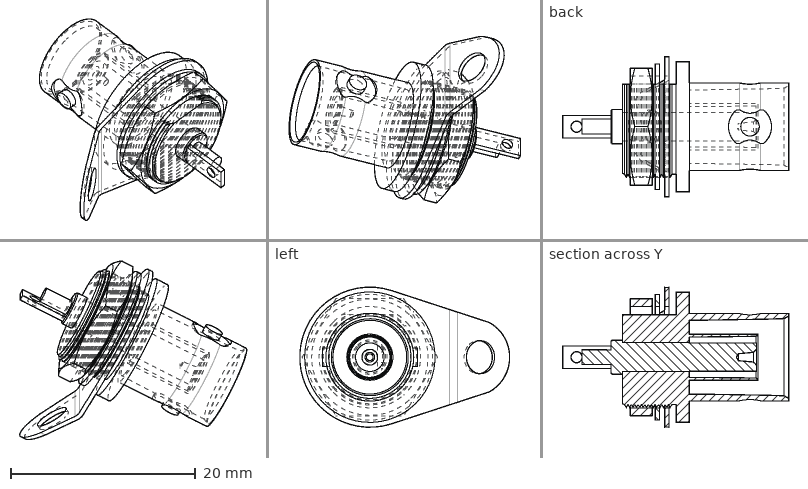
import math

import cadquery as cq

LENGTH = 24.5

BARREL_R = 4.75
FLANGE_R = 7.05
FLANGE_FRONT = 10.78
FLANGE_BACK = 12.2
HOUSING_BACK = 18.02

MOUTH_R = 4.45
BORE_R = 4.16
BORE_CHAMFER_DEPTH = 0.55
BORE_FLOOR_R = 4.0

BAYONET_X = 4.21
GROOVE_HALF_WIDTH = 1.13
GROOVE_DEPTH = 0.135
SPOTFACE_R = 2.33
SPOTFACE_Y = 4.38
BAYONET_PIN_R = 1.0
BAYONET_PIN_TIP_Y = 5.15

TUBE_FRONT = 3.35
TUBE_R = 2.5
TUBE_MOUTH_R = 2.38
TUBE_BORE_R = 2.25
TUBE_CHAMFER_DEPTH = 0.2
TUBE_FLOOR_R = 2.18

THREAD_CREST_R = 5.49
THREAD_ROOT_R = 5.17
THREAD_START = 12.65
THREAD_END = 17.78
THREAD_COUNT = 14
SHANK_END_R = 5.05
SHANK_FLAT_Z = 4.6

CONTACT_R = 1.55
CONTACT_FRONT = 3.5
SOCKET_MOUTH_R = 0.85
SOCKET_R = 0.51
SOCKET_END_R = 0.37
SOCKET_DEPTH = 1.95
DRILL_POINT_ANGLE = 118.0
COLLAR_R = 1.85
COLLAR_BACK = 19.27
COLLAR_CHAMFER = 0.15
POST_R = 0.8
POST_BACK = 22.4
TAB_THICKNESS = 0.56
TAB_WIDTH = 2.45
TAB_HOLE_R = 0.6
TAB_HOLE_X = 22.97

SHEET_THICKNESS = 0.5
LUG_FRONT = 12.95
LUG_R = 7.6
LUG_BEND_Y = 9.09
LUG_BEND_ANGLE = 32.0
LUG_BEND_R = 1.71
LUG_TAPER_ANGLE = 18.1
LUG_CORNER_Y = 12.9
LUG_TIP_Y = 15.13
LUG_HOLE_Y = 11.98
LUG_HOLE_R = 1.8
WASHER_FRONT = 13.98
WASHER_R = 6.8
NUT_FRONT = 14.77
NUT_BACK = 17.17
NUT_FLATS = 12.69
NUT_FACE_R = 6.3
NUT_CHAMFER_DEPTH = 0.5


def cylinder(radius, start, end):
    """A cylinder on the X axis."""
    return cq.Workplane("YZ", origin=(start, 0, 0)).circle(radius).extrude(end - start)


def revolve_about_x(profile):
    """Close a half profile drawn in the XY plane and revolve it about the X axis."""
    return profile.close().revolve(360, (0, 0, 0), (1, 0, 0))


def make_housing():
    groove_start = BAYONET_X - GROOVE_HALF_WIDTH
    groove_end = BAYONET_X + GROOVE_HALF_WIDTH
    groove_radius = (GROOVE_HALF_WIDTH**2 + GROOVE_DEPTH**2) / (2 * GROOVE_DEPTH)
    outline = (
        cq.Workplane("XY")
        .moveTo(0, MOUTH_R)
        .lineTo(0, BARREL_R)
        .lineTo(groove_start, BARREL_R)
        .radiusArc((BAYONET_X, BARREL_R - GROOVE_DEPTH), -groove_radius)
        .radiusArc((groove_end, BARREL_R), -groove_radius)
        .lineTo(FLANGE_FRONT, BARREL_R)
        .lineTo(FLANGE_FRONT, FLANGE_R)
        .lineTo(FLANGE_BACK, FLANGE_R)
        .lineTo(FLANGE_BACK, THREAD_ROOT_R)
        .lineTo(THREAD_START, THREAD_ROOT_R)
    )
    pitch = (THREAD_END - THREAD_START) / THREAD_COUNT
    for i in range(THREAD_COUNT):
        root_x = THREAD_START + i * pitch
        outline = outline.lineTo(root_x + pitch / 2, THREAD_CREST_R).lineTo(root_x + pitch, THREAD_ROOT_R)
    outline = (
        outline.lineTo(HOUSING_BACK, SHANK_END_R)
        .lineTo(HOUSING_BACK, CONTACT_R)
        .lineTo(FLANGE_FRONT, CONTACT_R)
        .lineTo(FLANGE_FRONT, TUBE_FLOOR_R)
        .lineTo(TUBE_FRONT + TUBE_CHAMFER_DEPTH, TUBE_BORE_R)
        .lineTo(TUBE_FRONT, TUBE_MOUTH_R)
        .lineTo(TUBE_FRONT, TUBE_R)
        .lineTo(FLANGE_FRONT, TUBE_R)
        .lineTo(FLANGE_FRONT, BORE_FLOOR_R)
        .lineTo(BORE_CHAMFER_DEPTH, BORE_R)
    )
    housing = revolve_about_x(outline)

    shank_length = HOUSING_BACK - FLANGE_BACK
    shank_middle = (FLANGE_BACK + HOUSING_BACK) / 2
    flat_cut = (
        cq.Workplane("XY", origin=(shank_middle, 0, SHANK_FLAT_Z))
        .rect(shank_length, 2 * THREAD_CREST_R)
        .extrude(THREAD_CREST_R - SHANK_FLAT_Z)
    )
    housing = housing.cut(flat_cut)

    for side in (1, -1):
        base = cq.Workplane("XZ", origin=(BAYONET_X, side * SPOTFACE_Y, 0))
        housing = housing.cut(base.circle(SPOTFACE_R).extrude(-side * (BARREL_R - SPOTFACE_Y)))
        root = cq.Workplane("XZ", origin=(BAYONET_X, side * BORE_R, 0))
        housing = housing.union(root.circle(BAYONET_PIN_R).extrude(-side * (BAYONET_PIN_TIP_Y - BORE_R)))
    return housing


def make_contact():
    socket_shoulder = CONTACT_FRONT + SOCKET_MOUTH_R - SOCKET_R
    socket_end = CONTACT_FRONT + SOCKET_DEPTH
    socket_tip = socket_end + SOCKET_END_R / math.tan(math.radians(DRILL_POINT_ANGLE / 2))
    contact = revolve_about_x(
        cq.Workplane("XY")
        .moveTo(CONTACT_FRONT, SOCKET_MOUTH_R)
        .lineTo(CONTACT_FRONT, CONTACT_R)
        .lineTo(HOUSING_BACK, CONTACT_R)
        .lineTo(HOUSING_BACK, COLLAR_R)
        .lineTo(COLLAR_BACK - COLLAR_CHAMFER, COLLAR_R)
        .lineTo(COLLAR_BACK, COLLAR_R - COLLAR_CHAMFER)
        .lineTo(COLLAR_BACK, POST_R)
        .lineTo(POST_BACK, POST_R)
        .lineTo(POST_BACK, 0)
        .lineTo(socket_tip, 0)
        .lineTo(socket_end, SOCKET_END_R)
        .lineTo(socket_shoulder, SOCKET_R)
    )
    tab = (
        cq.Workplane("XZ", origin=(0, -POST_R, 0))
        .moveTo(COLLAR_BACK, -TAB_WIDTH / 2)
        .lineTo(LENGTH, -TAB_WIDTH / 2)
        .lineTo(LENGTH, TAB_WIDTH / 2)
        .lineTo(COLLAR_BACK, TAB_WIDTH / 2)
        .close()
        .moveTo(TAB_HOLE_X, 0)
        .circle(TAB_HOLE_R)
        .extrude(TAB_THICKNESS)
    )
    return contact.union(tab)


def make_lug():
    bend = math.radians(LUG_BEND_ANGLE)
    lug_back = LUG_FRONT + SHEET_THICKNESS
    bend_back_y = -LUG_BEND_Y + SHEET_THICKNESS * math.tan(bend / 2)
    stock_y = -(LUG_TIP_Y + SHEET_THICKNESS)
    stock_front_x = LUG_FRONT + (-LUG_BEND_Y - stock_y) * math.tan(bend)
    stock_back_x = stock_front_x + SHEET_THICKNESS / math.cos(bend)
    sheet = (
        cq.Workplane("XY")
        .moveTo(LUG_FRONT, LUG_R)
        .lineTo(LUG_FRONT, -LUG_BEND_Y)
        .lineTo(stock_front_x, stock_y)
        .lineTo(stock_back_x, stock_y)
        .lineTo(lug_back, bend_back_y)
        .lineTo(lug_back, LUG_R)
        .close()
        .extrude(LUG_R, both=True)
    )
    front_bend_edge = cq.selectors.NearestToPointSelector((LUG_FRONT, -LUG_BEND_Y, 0))
    back_bend_edge = cq.selectors.NearestToPointSelector((lug_back, bend_back_y, 0))
    sheet = sheet.edges(front_bend_edge).fillet(LUG_BEND_R)
    sheet = sheet.edges(back_bend_edge).fillet(LUG_BEND_R - SHEET_THICKNESS)

    taper = math.radians(LUG_TAPER_ANGLE)
    tangent_y = -LUG_R * math.sin(taper)
    tangent_z = LUG_R * math.cos(taper)
    corner_z = tangent_z - (LUG_CORNER_Y + tangent_y) * math.tan(taper)
    teardrop = (
        cq.Workplane("YZ", origin=(LUG_FRONT, 0, 0))
        .moveTo(-LUG_CORNER_Y, corner_z)
        .lineTo(tangent_y, tangent_z)
        .threePointArc((LUG_R, 0), (tangent_y, -tangent_z))
        .lineTo(-LUG_CORNER_Y, -corner_z)
        .threePointArc((-LUG_TIP_Y, 0), (-LUG_CORNER_Y, corner_z))
        .close()
        .extrude(stock_back_x - LUG_FRONT)
    )

    hole_x = LUG_FRONT + (LUG_HOLE_Y - LUG_BEND_Y) * math.tan(bend)
    tongue_plane = cq.Plane(
        origin=(hole_x, -LUG_HOLE_Y, 0),
        xDir=(0, 0, 1),
        normal=(math.cos(bend), math.sin(bend), 0),
    )
    hole = cq.Workplane(tongue_plane).circle(LUG_HOLE_R).extrude(SHEET_THICKNESS)
    shank_hole = cylinder(THREAD_CREST_R, LUG_FRONT, lug_back)
    return sheet.intersect(teardrop).cut(hole).cut(shank_hole)


def make_washer():
    back = WASHER_FRONT + SHEET_THICKNESS
    return cylinder(WASHER_R, WASHER_FRONT, back).cut(cylinder(THREAD_CREST_R, WASHER_FRONT, back))


def make_nut():
    corner_r = NUT_FLATS / math.sqrt(3)
    nut_base = cq.Workplane("YZ", origin=(NUT_FRONT, 0, 0))
    hexagon = nut_base.polygon(6, 2 * corner_r).extrude(NUT_BACK - NUT_FRONT)
    chamfered_round = revolve_about_x(
        cq.Workplane("XY")
        .moveTo(NUT_FRONT, 0)
        .lineTo(NUT_FRONT, NUT_FACE_R)
        .lineTo(NUT_FRONT + NUT_CHAMFER_DEPTH, corner_r)
        .lineTo(NUT_BACK - NUT_CHAMFER_DEPTH, corner_r)
        .lineTo(NUT_BACK, NUT_FACE_R)
        .lineTo(NUT_BACK, 0)
    )
    return hexagon.intersect(chamfered_round).cut(cylinder(THREAD_CREST_R, NUT_FRONT, NUT_BACK))


housing = make_housing()
contact = make_contact()
lug = make_lug()
washer = make_washer()
nut = make_nut()

result = cq.Compound.makeCompound([housing.val(), contact.val(), lug.val(), washer.val(), nut.val()])